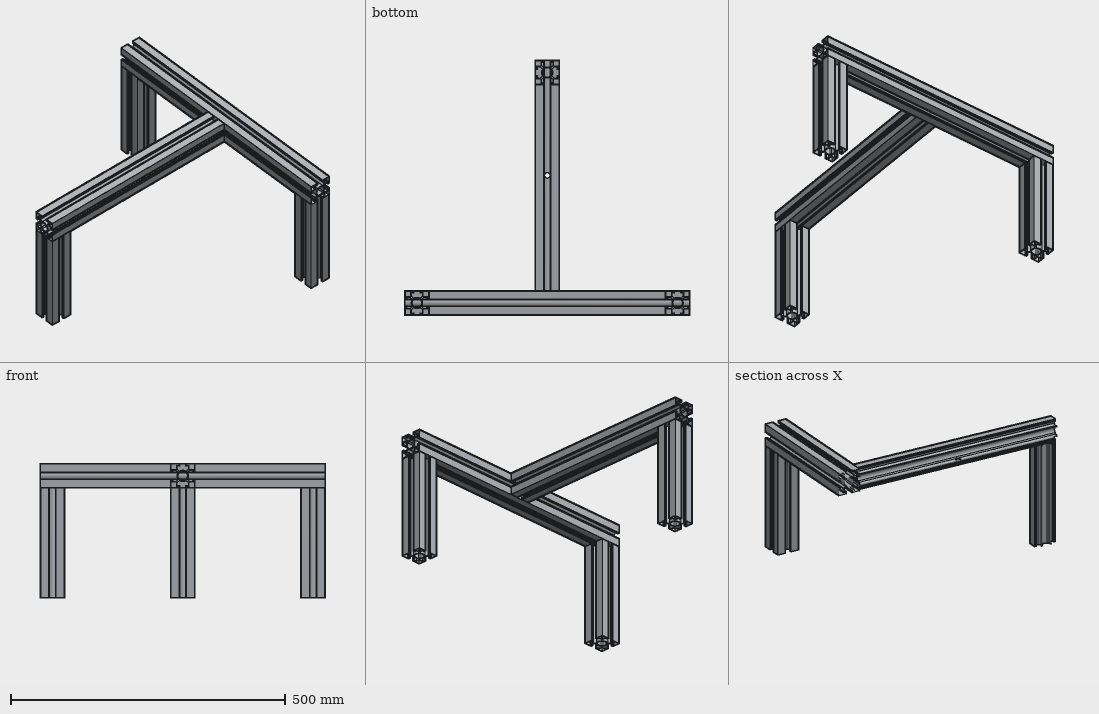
import cadquery as cq
import math

frame_width = 520.0
frame_depth = 465.0
frame_height = 245.0

slot_width = 11.0
pocket_width = 20.5
lip_depth = 4.6
pocket_depth = 8.0
wall = 1.3
tube_outer_radius = 10.5
tube_wall = 1.8
web_width = 3.0

hole_diameter = 10.0

half_profile = pocket_width / 2 + pocket_depth + lip_depth
profile = 2 * half_profile
leg_height = frame_height - profile
stem_length = frame_depth - profile
rail_center_z = frame_height - half_profile
tube_bore_radius = tube_outer_radius - tube_wall


def corner_block(inset, length):
    """Solid corner of the extrusion, with every side moved inward by the inset."""
    outer = half_profile - inset
    slot = slot_width / 2 + inset
    pocket = pocket_width / 2 + inset
    under_lip = half_profile - lip_depth + inset
    outline = [
        (outer, outer),
        (slot, outer),
        (slot, under_lip),
        (pocket, under_lip),
        (pocket, pocket),
        (under_lip, pocket),
        (under_lip, slot),
        (outer, slot),
    ]
    return cq.Workplane("XY").polyline(outline).close().extrude(length)


def corner_cell(length):
    """Hollow corner of the extrusion, with a lip reaching over each neighbouring slot."""
    return corner_block(0, length).cut(corner_block(wall, length))


def diagonal_web(length):
    """Web joining the central tube to the inner corner of a corner cell."""
    inner_end = tube_outer_radius - tube_wall / 2
    outer_end = math.hypot(pocket_width / 2, pocket_width / 2) + wall
    return (
        cq.Workplane("XY")
        .center((inner_end + outer_end) / 2, 0)
        .rect(outer_end - inner_end, web_width)
        .extrude(length)
        .rotate((0, 0, 0), (0, 0, 1), 45)
    )


def extrusion(length):
    """Bar along +Z, centred on the Z axis and starting at Z = 0."""
    bar = cq.Workplane("XY").circle(tube_outer_radius).circle(tube_bore_radius).extrude(length)
    quadrant = corner_cell(length).union(diagonal_web(length))
    for turn in range(4):
        bar = bar.union(quadrant.rotate((0, 0, 0), (0, 0, 1), 90 * turn))
    return bar


cross_rail = (
    extrusion(frame_width)
    .rotate((0, 0, 0), (0, 1, 0), 90)
    .translate((-frame_width / 2, -half_profile, rail_center_z))
)

stem_rail = (
    extrusion(stem_length)
    .rotate((0, 0, 0), (1, 0, 0), 90)
    .translate((0, -profile, rail_center_z))
)
hole_tool = (
    cq.Workplane("XY")
    .center(0, -profile - stem_length / 2)
    .circle(hole_diameter / 2)
    .extrude(frame_height)
)
stem_rail = stem_rail.cut(hole_tool)

end_leg_x = frame_width / 2 - half_profile
leg_positions = [
    (-end_leg_x, -half_profile),
    (end_leg_x, -half_profile),
    (0, half_profile - frame_depth),
]

result = cross_rail.union(stem_rail)
leg = extrusion(leg_height)
for x, y in leg_positions:
    result = result.union(leg.translate((x, y, 0)))